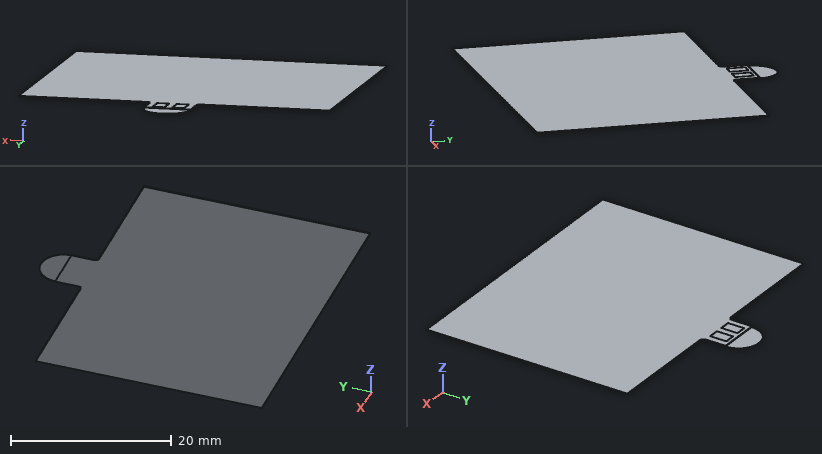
import cadquery as cq

plate_width = 40.0
plate_length = 30.0
overall_height = 0.18

overall_length = 36.5
tab_width = 6.0
tip_radius = tab_width / 2
tip_thickness = 0.1
tab_length = overall_length - plate_length - tip_radius
corner_radius = 0.5

pad_width = 1.5
pad_length = 2.4
pad_pitch = 2.5
pad_height = 0.02

thickness = overall_height - pad_height

tab_end_y = plate_length + tab_length
pad_center_y = plate_length + tab_length / 2


def make_plate_with_tab():
    """Rectangular plate and full-thickness tab, with rounded inner corners between them."""
    plate = cq.Workplane("XY").rect(plate_width, plate_length).extrude(thickness)
    plate = plate.translate((0, plate_length / 2, 0))
    tab = cq.Workplane("XY").center(0, tab_end_y / 2).rect(tab_width, tab_end_y).extrude(thickness)
    inner_corners = cq.selectors.BoxSelector(
        (-tab_width, plate_length - corner_radius, -thickness),
        (tab_width, plate_length + corner_radius, 2 * thickness),
    )
    return plate.union(tab).edges("|Z").edges(inner_corners).fillet(corner_radius)


def make_tip():
    """Thin half disc that continues the tab along the bottom face."""
    return (
        cq.Workplane("XY")
        .moveTo(-tip_radius, tab_end_y)
        .threePointArc((0, overall_length), (tip_radius, tab_end_y))
        .close()
        .extrude(tip_thickness)
    )


def make_pads():
    """Two rectangular pads, side by side on the top face of the tab."""
    return (
        cq.Workplane("XY", origin=(0, pad_center_y, thickness))
        .rarray(pad_pitch, 0.4, 2, 1)
        .rect(pad_width, pad_length)
        .extrude(pad_height)
    )


result = make_plate_with_tab().union(make_tip()).union(make_pads())